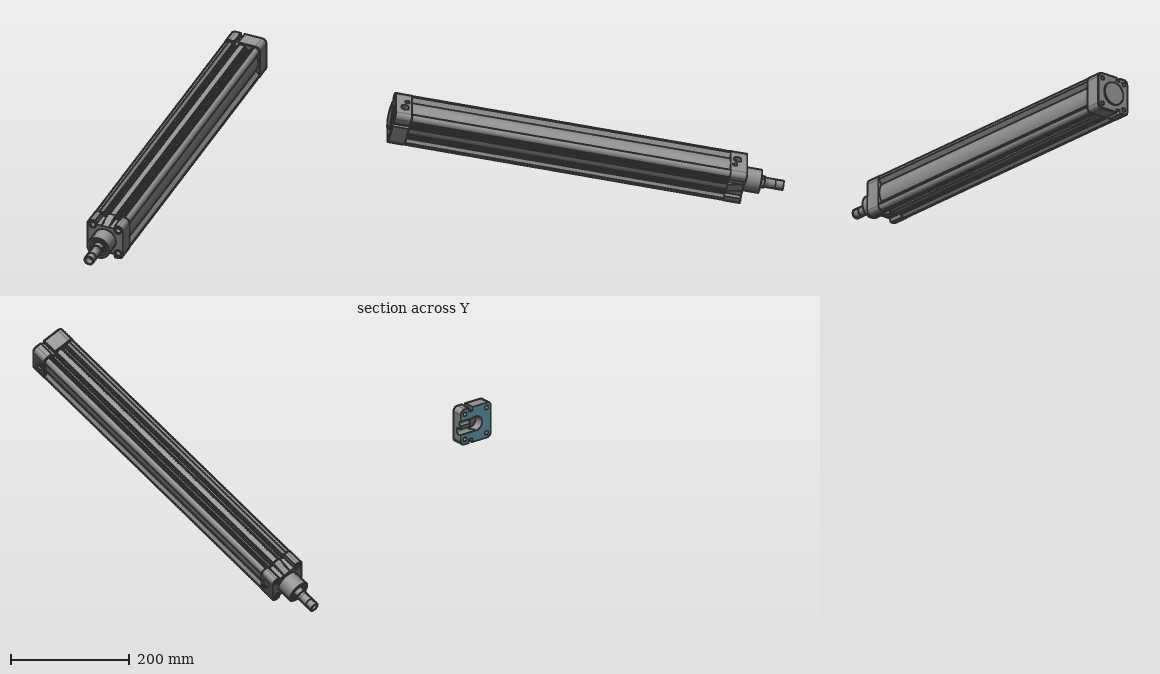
import cadquery as cq
import math


TOTAL_LENGTH = 678.0
ROD_REACH = 68.5
FRONT_CAP_LENGTH = 28.5
REAR_CAP_LENGTH = 30.0
BOSS_LENGTH = 3.0
REAR_FACE_Y = TOTAL_LENGTH - ROD_REACH - BOSS_LENGTH
REAR_CAP_Y = REAR_FACE_Y - REAR_CAP_LENGTH

CAP_SIDE = 65.0
TUBE_SIDE = 64.5
HALF_CAP = CAP_SIDE / 2
HALF_TUBE = TUBE_SIDE / 2
CORNER_RADIUS = 9.0
REAR_EDGE_CHAMFER = 1.5

BARREL_RADIUS = 30.0
POST_OUTER = 23.0
POST_INNER = 15.5
SLOT_OFFSET = 11.5
SLOT_WIDTH = 5.5
SLOT_FLOOR = 22.0
LIP_WIDTH = 12.0
LIP_FLOOR = 25.0

CHANNEL_TOP = 18.0
CHANNEL_BOTTOM = 16.0
REAR_CHANNEL_EDGE = 15.0
CHANNEL_FLOOR = 26.0
RAMP_WIDTH = 13.5
REAR_PAD_EDGE = 7.5

COLLAR_RADIUS = 20.0
COLLAR_LENGTH = 28.5
WIPER_STEPS = [(15.5, 1.5), (11.5, 3.0)]

MOUNT_OFFSET = 23.0
MOUNT_HOLE_DIAMETER = 7.0
MOUNT_BORE_DIAMETER = 9.5
MOUNT_BORE_DEPTH = 13.5
MOUTH_DIAMETER = 12.0
MOUTH_DEPTH = 1.5

PORT_DIAMETER = 13.0
PORT_INSET = 17.0
PORT_HEIGHT = 7.5
SCREW_DIAMETER = 7.5
SCREW_INSET = 21.0
CHAMBER_RADIUS = 13.0
CHAMBER_LENGTH = 26.0

ROD_RADIUS = 9.8
SHOULDER_REACH = 36.0
NECK_LENGTH = 5.0
NECK_RADIUS = 8.5
THREAD_RADIUS = 8.0
TIP_BORE_RADIUS = 7.0
TIP_BORE_DEPTH = 13.5
ACROSS_FLATS = 17.5
FLAT_START = 30.0
FLAT_END = 34.5


def cylinder_y(radius, start_y, end_y):
    """Round bar on the cylinder axis between two Y positions."""
    return cq.Workplane("XZ", origin=(0, start_y, 0)).circle(radius).extrude(start_y - end_y)


def box_between(x_range, y_range, z_range):
    """Box filling the given X, Y and Z ranges."""
    sizes = [high - low for low, high in (x_range, y_range, z_range)]
    corner = (x_range[0], y_range[0], z_range[0])
    return cq.Workplane("XY", origin=corner).box(*sizes, centered=False)


def on_both_faces(shape):
    """The shape for the top face together with its mirror image for the bottom face."""
    return shape.union(shape.mirror("XY"))


def rounded_square_bar(side, start_y, end_y):
    mid_y = (start_y + end_y) / 2
    bar = cq.Workplane("XY", origin=(0, mid_y, 0)).box(side, end_y - start_y, side)
    return bar.edges("|Y").fillet(CORNER_RADIUS)


def profile_y(points, start_y, end_y):
    """Closed XZ outline swept along Y."""
    return cq.Workplane("XZ", origin=(0, start_y, 0)).polyline(points).close().extrude(start_y - end_y)


def tube():
    start_y = FRONT_CAP_LENGTH
    end_y = REAR_CAP_Y
    barrel_edge = math.sqrt(BARREL_RADIUS**2 - POST_INNER**2)
    waist_outline = [
        (HALF_TUBE, -POST_OUTER),
        (barrel_edge, -POST_INNER),
        (0, -POST_INNER),
        (0, POST_INNER),
        (barrel_edge, POST_INNER),
        (HALF_TUBE, POST_OUTER),
    ]
    body = rounded_square_bar(TUBE_SIDE, start_y, end_y)
    waist = profile_y(waist_outline, start_y, end_y)
    for quarter in range(4):
        body = body.cut(waist.rotate((0, 0, 0), (0, 1, 0), 90 * quarter))
    body = body.union(cylinder_y(BARREL_RADIUS, start_y, end_y))

    for side in (-1, 1):
        centre = side * SLOT_OFFSET
        for width, floor in ((LIP_WIDTH, LIP_FLOOR), (SLOT_WIDTH, SLOT_FLOOR)):
            groove = box_between(
                (centre - width / 2, centre + width / 2), (start_y, end_y), (floor, HALF_TUBE)
            )
            body = body.cut(on_both_faces(groove))
    return body


def front_cap():
    channel_outline = [
        (-CHANNEL_TOP, HALF_CAP),
        (-CHANNEL_BOTTOM, CHANNEL_FLOOR),
        (CHANNEL_BOTTOM, CHANNEL_FLOOR),
        (CHANNEL_TOP, HALF_CAP),
    ]
    channel = profile_y(channel_outline, 0, FRONT_CAP_LENGTH)
    ramp_outline = [(0, CHANNEL_FLOOR), (FRONT_CAP_LENGTH, CHANNEL_FLOOR), (FRONT_CAP_LENGTH, HALF_CAP)]
    ramp = cq.Workplane("YZ").polyline(ramp_outline).close().extrude(RAMP_WIDTH / 2, both=True)
    cap = rounded_square_bar(CAP_SIDE, 0, FRONT_CAP_LENGTH).cut(on_both_faces(channel))
    return cap.union(on_both_faces(ramp))


def rear_cap():
    channel = box_between(
        (-REAR_CHANNEL_EDGE, -REAR_PAD_EDGE), (REAR_CAP_Y, REAR_FACE_Y), (CHANNEL_FLOOR, HALF_CAP)
    )
    cap = rounded_square_bar(CAP_SIDE, REAR_CAP_Y, REAR_FACE_Y)
    cap = cap.faces("<Y or >Y").chamfer(REAR_EDGE_CHAMFER)
    boss = cylinder_y(COLLAR_RADIUS, REAR_FACE_Y, REAR_FACE_Y + BOSS_LENGTH)
    return cap.cut(on_both_faces(channel)).union(boss)


def collar():
    body = cylinder_y(COLLAR_RADIUS, -COLLAR_LENGTH, 0)
    for radius, depth in WIPER_STEPS:
        body = body.cut(cylinder_y(radius, -COLLAR_LENGTH, depth - COLLAR_LENGTH))
    return body


def mounting_holes(diameter, depth):
    """Four holes from the front face, one in each corner."""
    pitch = 2 * MOUNT_OFFSET
    corners = cq.Workplane("XZ").rect(pitch, pitch, forConstruction=True).vertices()
    return corners.circle(diameter / 2).extrude(-depth)


def side_hole(diameter, y, z):
    """Hole from the -X side in to the cylinder axis."""
    return cq.Workplane("YZ").center(y, z).circle(diameter / 2).extrude(-HALF_CAP)


def housing():
    body = tube().union(front_cap()).union(rear_cap()).union(collar())
    body = body.cut(mounting_holes(MOUNT_HOLE_DIAMETER, REAR_FACE_Y))
    body = body.cut(mounting_holes(MOUNT_BORE_DIAMETER, MOUNT_BORE_DEPTH))
    body = body.cut(mounting_holes(MOUTH_DIAMETER, MOUTH_DEPTH))
    body = body.cut(cylinder_y(ROD_RADIUS, -COLLAR_LENGTH, FRONT_CAP_LENGTH))
    body = body.cut(cylinder_y(CHAMBER_RADIUS, REAR_CAP_Y, REAR_CAP_Y + CHAMBER_LENGTH))
    body = body.cut(side_hole(PORT_DIAMETER, PORT_INSET, PORT_HEIGHT))
    body = body.cut(side_hole(SCREW_DIAMETER, SCREW_INSET, -PORT_HEIGHT))
    body = body.cut(side_hole(PORT_DIAMETER, REAR_FACE_Y - PORT_INSET, -PORT_HEIGHT))
    return body.cut(side_hole(SCREW_DIAMETER, REAR_FACE_Y - SCREW_INSET, PORT_HEIGHT))


def rod():
    neck_end = SHOULDER_REACH + NECK_LENGTH
    half_outline = [
        (0, FRONT_CAP_LENGTH),
        (ROD_RADIUS, FRONT_CAP_LENGTH),
        (ROD_RADIUS, -SHOULDER_REACH),
        (NECK_RADIUS, -SHOULDER_REACH),
        (THREAD_RADIUS, -neck_end),
        (THREAD_RADIUS, -ROD_REACH),
        (TIP_BORE_RADIUS, -ROD_REACH),
        (TIP_BORE_RADIUS, TIP_BORE_DEPTH - ROD_REACH),
        (0, TIP_BORE_DEPTH - ROD_REACH),
    ]
    body = cq.Workplane("XY").polyline(half_outline).close().revolve(360, (0, 0, 0), (0, 1, 0))
    flat_range = (-FLAT_END, -FLAT_START)
    for side in (-1, 1):
        inner = side * ACROSS_FLATS / 2
        outer = side * ROD_RADIUS
        x_range = (min(inner, outer), max(inner, outer))
        body = body.cut(box_between(x_range, flat_range, (-ROD_RADIUS, ROD_RADIUS)))
    return body


result = cq.Compound.makeCompound([housing().val(), rod().val()])